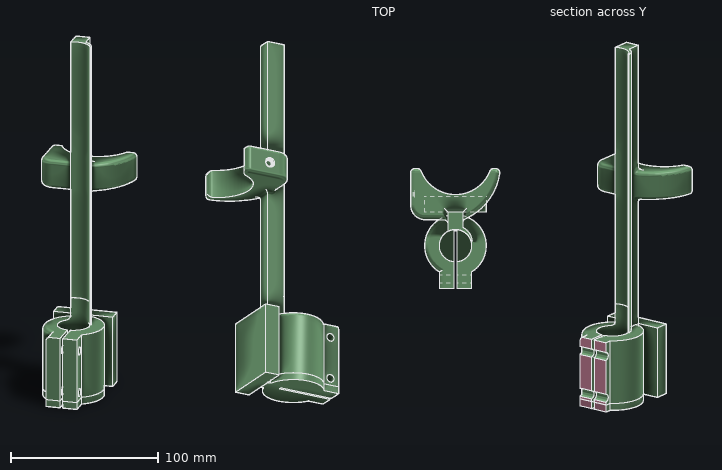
import cadquery as cq
import math

total_height = 250.0
clamp_height = 50.0
floor_thickness = 5.0
edge_radius = 3.0

bore_radius = 11.0
ring_wall = 10.0
ring_radius = bore_radius + ring_wall
bore_top = 65.8
ear_half_width = bore_radius
ear_end_y = -29.3
slot_width = 2.0
slot_end_y = 10.0
screw_hole_diameter = 5.5
screw_hole_y = -22.8
screw_hole_offset = 15.0

block_thickness = 10.5
block_half_width = ring_radius

bar_half_width = 5.0
bar_back_y = 22.8
bar_face_radius = 11.3
bar_face_center_y = -0.4
hook_radius = 11.5
hook_center_y = 2.0
hook_tip_y = 3.3

cradle_half_width = 30.5
cradle_front_y = 17.5
cradle_back_y = 52.5
cradle_height = 20.0
cradle_center_z = 150.0
cradle_corner_radius = 10.0
cradle_outer_radius = 40.0
seat_radius = 25.0
seat_center_y = 59.8
cradle_recess_steps = [(6.8, 1.5), (5.5, 2.0), (4.3, 2.5)]
cradle_recess_y = 35.0

pick_margin = 0.3


def circle_x(radius, center_y, y):
    """Positive x on a circle centred on the Y axis."""
    return math.sqrt(radius**2 - (y - center_y) ** 2)


def circle_y(radius, center_y, x):
    """Upper y on a circle centred on the Y axis."""
    return center_y + math.sqrt(radius**2 - x**2)


def box_between(x0, x1, y0, y1, z0, z1):
    """Box given by its limits along each axis."""
    return cq.Workplane("XY").box(x1 - x0, y1 - y0, z1 - z0, centered=False).translate((x0, y0, z0))


def clamp_blank(z0, z1):
    """Ring, ears and rear neck, unbored, with the slot cut."""
    ring = cq.Workplane("XY").workplane(offset=z0).circle(ring_radius).extrude(z1 - z0)
    ears = box_between(-ear_half_width, ear_half_width, ear_end_y, 0, z0, z1)
    neck = box_between(-bar_half_width, bar_half_width, 0, bar_back_y, z0, z1)
    slot = box_between(-slot_width / 2, slot_width / 2, ear_end_y, slot_end_y, z0, z1)
    return ring.union(ears).union(neck).cut(slot)


def make_bar():
    """Full-height bar with a concave front face and a tapering hook."""
    tip_inner_x = circle_x(bar_face_radius, bar_face_center_y, hook_tip_y)
    tip_outer_x = circle_x(hook_radius, hook_center_y, hook_tip_y)
    hook_mid_x = (bar_half_width + tip_outer_x) / 2
    return (
        cq.Workplane("XY").workplane(offset=floor_thickness)
        .moveTo(-bar_half_width, bar_back_y)
        .lineTo(bar_half_width, bar_back_y)
        .lineTo(bar_half_width, circle_y(hook_radius, hook_center_y, bar_half_width))
        .threePointArc(
            (hook_mid_x, circle_y(hook_radius, hook_center_y, hook_mid_x)),
            (tip_outer_x, hook_tip_y),
        )
        .lineTo(tip_inner_x, hook_tip_y)
        .threePointArc(
            (0, bar_face_center_y + bar_face_radius),
            (-bar_half_width, circle_y(bar_face_radius, bar_face_center_y, bar_half_width)),
        )
        .close()
        .extrude(total_height - floor_thickness)
    )


def make_cradle():
    """Crescent with a straight left side and a round right side; only its seat edges stay sharp."""
    tip_x = circle_x(seat_radius, seat_center_y, cradle_back_y)
    corner_center_x = -cradle_half_width + cradle_corner_radius
    corner_center_y = cradle_front_y + cradle_corner_radius
    diagonal = math.sqrt(0.5)
    outline = (
        cq.Workplane("XY").workplane(offset=cradle_center_z - cradle_height / 2)
        .moveTo(-tip_x, cradle_back_y)
        .lineTo(-cradle_half_width, cradle_back_y)
        .lineTo(-cradle_half_width, corner_center_y)
        .threePointArc(
            (corner_center_x - cradle_corner_radius * diagonal,
             corner_center_y - cradle_corner_radius * diagonal),
            (corner_center_x, cradle_front_y),
        )
        .lineTo(bar_half_width, cradle_front_y)
        .radiusArc((cradle_half_width, cradle_back_y), -cradle_outer_radius)
        .lineTo(tip_x, cradle_back_y)
        .threePointArc((0, seat_center_y - seat_radius), (-tip_x, cradle_back_y))
        .close()
    )
    cradle = outline.extrude(cradle_height)
    tip_edges = cradle.edges("|Z").edges(">Y").vals()
    rim_edges = cradle.faces("<Z or >Z").edges()
    straight_rims = rim_edges.edges("%LINE").vals()
    outer_arcs = [
        arc for arc in rim_edges.edges("%CIRCLE").vals()
        if abs(arc.radius() - seat_radius) > pick_margin
    ]
    return cradle.newObject(straight_rims + outer_arcs + tip_edges).fillet(edge_radius)


def make_block():
    """Mounting block standing against the back of the bar."""
    return box_between(
        -block_half_width, block_half_width, bar_back_y, bar_back_y + block_thickness, 0, clamp_height
    )


def edges_in_box(body, low, high):
    """Edges whose centres lie in the box."""
    return body.edges(cq.selectors.BoxSelector(low, high))


def make_clamp():
    """Ring and ears with a rounded left rim, and a filleted rib rising to the top of the bore."""
    blank = clamp_blank(floor_thickness, clamp_height)
    rim_low = (-ring_radius, ear_end_y, clamp_height - pick_margin)
    rim_high = (-ear_half_width + pick_margin, ring_radius, clamp_height + pick_margin)
    clamp = edges_in_box(blank, rim_low, rim_high).fillet(edge_radius)
    clamp = clamp.union(
        box_between(-bar_half_width, bar_half_width, 0, bar_back_y, floor_thickness, bore_top)
    )
    root_low = (-bar_half_width - pick_margin, 0, clamp_height - edge_radius)
    root_high = (-bar_half_width + pick_margin, ring_radius, clamp_height + pick_margin)
    return edges_in_box(clamp, root_low, root_high).fillet(edge_radius)


def make_bracket():
    """Clamp, bar, block and cradle as one solid resting on the floor plate."""
    upper = make_bar().union(make_cradle())
    half_reach_x = bar_half_width + pick_margin
    half_reach_z = cradle_height / 2 + pick_margin
    joint_low = (-half_reach_x, cradle_front_y - pick_margin, cradle_center_z - half_reach_z)
    joint_high = (half_reach_x, bar_back_y + pick_margin, cradle_center_z + half_reach_z)
    upper = edges_in_box(upper, joint_low, joint_high).fillet(edge_radius)
    bore = (
        cq.Workplane("XY").workplane(offset=floor_thickness)
        .circle(bore_radius).extrude(bore_top - floor_thickness)
    )
    return upper.union(make_clamp()).cut(bore).union(make_block())


def ear_screw_holes():
    """Two holes along X through both ears."""
    centers = [(screw_hole_y, clamp_height / 2 + side * screw_hole_offset) for side in (-1, 1)]
    return (
        cq.Workplane("YZ").pushPoints(centers)
        .circle(screw_hole_diameter / 2).extrude(ring_radius, both=True)
    )


def cradle_recess():
    """Stepped blind recess in the left face of the cradle."""
    mouth = cq.Workplane("YZ", origin=(-cradle_half_width, cradle_recess_y, cradle_center_z))
    recess = cq.Workplane("YZ")
    for diameter, depth in cradle_recess_steps:
        recess = recess.union(mouth.circle(diameter / 2).extrude(depth))
    return recess


bracket = make_bracket().cut(ear_screw_holes()).cut(cradle_recess())
floor_plate = clamp_blank(0, floor_thickness)

result = cq.Compound.makeCompound([bracket.val(), floor_plate.val()])